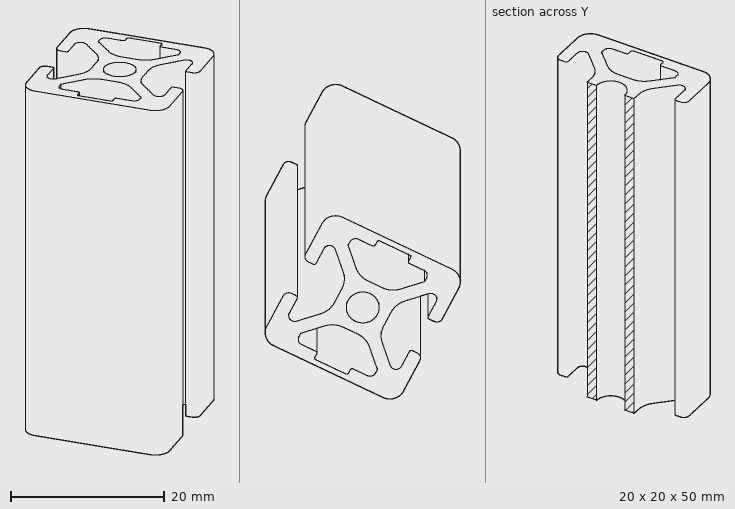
import cadquery as cq

side = 20.0
length = 50.0
corner_radius = 2.0
bore_diameter = 4.3

slot_half_width = 2.45
lip_thickness = 1.8
lip_radius = 0.8
core_half_width = 3.6
core_radius = 3.1
web_offset = 1.25
pocket_radius = 0.8
closed_half_width = 5.6
closed_wall = 0.75
small_edge_radius = 0.25

half_side = side / 2
lip_face = half_side - lip_thickness
core_half_flat = core_half_width - web_offset


def pillar(outline):
    """Extrude an outline over the full length."""
    return cq.Workplane("XY").polyline(outline).close().extrude(length)


def mirrored(half_outline):
    """Complete a half outline by reflecting it across the Y axis."""
    return half_outline + [(-x, y) for x, y in reversed(half_outline)]


def round_edges(body, points, radius):
    """Round the vertical edges at the given points and at their mirror images."""
    for x, y in mirrored(points):
        edge = cq.selectors.NearestToPointSelector((x, y, length / 2))
        body = body.edges("|Z").edges(edge).fillet(radius)
    return body


def open_slot():
    """T-slot cavity that opens toward +Y."""
    core_corner = (core_half_flat, core_half_width)
    pocket_tip = (lip_face - web_offset, lip_face)
    lip_inner = (slot_half_width, lip_face)
    mouth = (slot_half_width, half_side)
    cavity = pillar(mirrored([core_corner, pocket_tip, lip_inner, mouth]))
    cavity = round_edges(cavity, [core_corner], core_radius)
    cavity = round_edges(cavity, [pocket_tip], pocket_radius)
    return round_edges(cavity, [lip_inner], small_edge_radius)


def closed_cavity():
    """Cavity behind the closed +Y side, with a shallow relief in its outer wall."""
    core_corner = (core_half_flat, core_half_width)
    web_end = (closed_half_width, closed_half_width + web_offset)
    outer_corner = (closed_half_width, lip_face)
    relief_edge = (slot_half_width, lip_face)
    relief_corner = (slot_half_width, half_side - closed_wall)
    cavity = pillar(mirrored([core_corner, web_end, outer_corner, relief_edge, relief_corner]))
    cavity = round_edges(cavity, [core_corner], core_radius)
    cavity = round_edges(cavity, [outer_corner], pocket_radius)
    return round_edges(cavity, [relief_edge, relief_corner], small_edge_radius)


result = cq.Workplane("XY").rect(side, side).extrude(length).edges("|Z").fillet(corner_radius)
result = result.cut(cq.Workplane("XY").circle(bore_diameter / 2).extrude(length))

for angle in (90, -90):
    result = result.cut(open_slot().rotate((0, 0, 0), (0, 0, 1), angle))

for x in (-half_side, half_side):
    for y in (-slot_half_width, slot_half_width):
        lip_edge = cq.selectors.NearestToPointSelector((x, y, length / 2))
        result = result.edges("|Z").edges(lip_edge).fillet(lip_radius)

for angle in (0, 180):
    result = result.cut(closed_cavity().rotate((0, 0, 0), (0, 0, 1), angle))